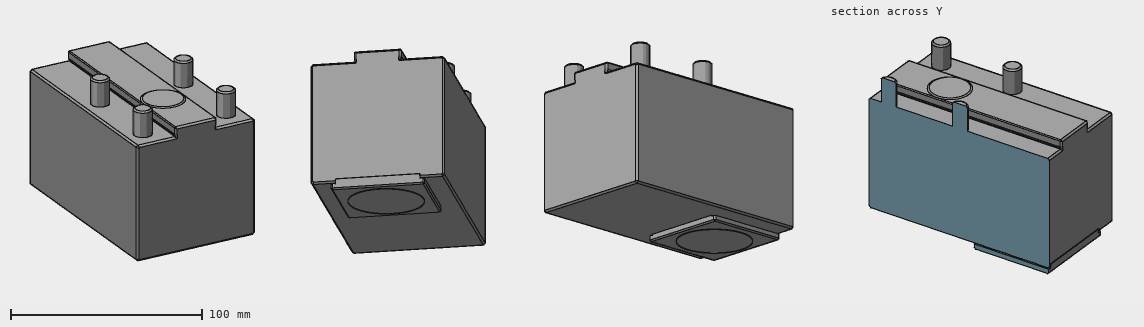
import cadquery as cq

body_length = 114
body_width = 71.0
total_height = 84.9
body_chamfer = 1.0

rail_width = 25.1
rail_height = 5.6
rail_chamfer = 0.6
undercut_height = 1.5
undercut_depth = 0.3
undercut_wall_height = 0.5

rail_disc_diameter = 23.7
rail_disc_height = 0.5
rail_disc_rim = 1.0

pin_diameter = 10.0
pin_height = 14.8
pin_chamfer = 0.9
pin_spacing_x = 45.0
pin_spacing_y = 50.0
pin_group_x = 22.0

plate_length = 47.2
plate_width = 49.7
plate_chamfer = 0.8
plate_drop = 3.5
plate_end_inset = 0.3
neck_width = 44.9
neck_gap = 0.5
neck_seat_height = 2.0

pad_diameter = 40.0
pad_height = 0.3

body_height = total_height - pin_height - plate_drop - pad_height
body_bottom = -body_height
plate_bottom = body_bottom - plate_drop
body_end = -body_length / 2
straight_length = body_length - 2 * body_chamfer
plate_end = body_end + plate_end_inset
plate_x = plate_end + plate_length / 2


def make_block():
    """Block and undercut rail as one chamfered profile, with both ends bevelled at 45 degrees."""
    half_body = body_width / 2
    half_rail = rail_width / 2
    right_side = [
        (half_body, body_bottom),
        (half_body, 0),
        (half_rail - undercut_depth, 0),
        (half_rail - undercut_depth, undercut_wall_height),
        (half_rail, undercut_height),
        (half_rail, rail_height - rail_chamfer),
        (half_rail - rail_chamfer, rail_height),
    ]
    left_side = [(-y, z) for y, z in reversed(right_side)]
    profile = (
        cq.Workplane("YZ")
        .polyline(right_side + left_side)
        .close()
        .extrude(straight_length / 2, both=True)
    )
    outer_corners = [
        (0, side * half_body, z) for side in (-1, 1) for z in (body_bottom, 0)
    ]
    for corner in outer_corners:
        profile = profile.edges(cq.NearestToPointSelector(corner)).chamfer(body_chamfer)
    end_cap = (
        profile.faces(">X")
        .wires()
        .toPending()
        .workplane(origin=(straight_length / 2, 0, 0))
        .extrude(body_chamfer, combine=False, taper=45)
    )
    return profile.union(end_cap).union(end_cap.mirror("YZ"))


def make_rail_disc():
    """Low disc with a sloping rim, centred between the pins."""
    rim_radius = rail_disc_diameter / 2
    return (
        cq.Workplane("XZ")
        .polyline([
            (0, 0),
            (rim_radius, 0),
            (rim_radius - rail_disc_rim, rail_disc_height),
            (0, rail_disc_height),
        ])
        .close()
        .revolve(360, (0, 0), (0, 1))
        .translate((pin_group_x, 0, rail_height))
    )


def make_pins():
    """Four chamfered pins standing on the deck."""
    return (
        cq.Workplane("XY")
        .center(pin_group_x, 0)
        .rect(pin_spacing_x, pin_spacing_y, forConstruction=True)
        .vertices()
        .circle(pin_diameter / 2)
        .extrude(pin_height)
        .faces(">Z")
        .chamfer(pin_chamfer)
    )


def make_foot():
    """Neck, chamfered plate and round pad below the block."""
    neck = (
        cq.Workplane("XY", origin=(plate_x, 0, body_bottom - neck_gap))
        .rect(plate_length, neck_width)
        .extrude(neck_gap + neck_seat_height)
    )
    plate = (
        cq.Workplane("XY", origin=(plate_x, 0, plate_bottom))
        .rect(plate_length, plate_width)
        .extrude(plate_drop - neck_gap)
        .edges("|Z or <Z")
        .chamfer(plate_chamfer)
    )
    pad = (
        cq.Workplane("XY", origin=(plate_x, 0, plate_bottom - pad_height))
        .circle(pad_diameter / 2)
        .extrude(pad_height)
    )
    return neck.union(plate).union(pad)


def make_neck_seat():
    """Shallow recess in the end face that clears the inset end of the neck."""
    return (
        cq.Workplane("XY", origin=(body_end, 0, body_bottom))
        .rect(2 * plate_end_inset, neck_width)
        .extrude(neck_seat_height)
    )


block = make_block().cut(make_neck_seat())
result = block.union(make_rail_disc()).union(make_pins()).union(make_foot())